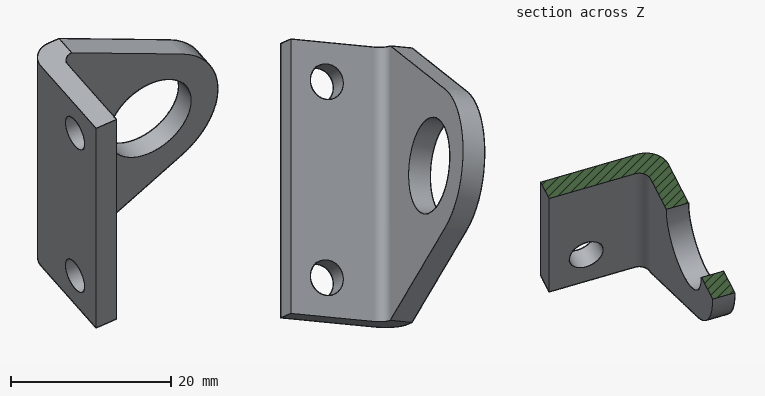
import cadquery as cq
import math

height = 35.0
base_width = 16.0
depth = 26.0
thickness = 3.0

outer_bend_radius = thickness
inner_bend_radius = thickness / 2

lug_radius = 10.0
lug_hole_diameter = 12.1
lug_center_y = depth - lug_radius
taper_start_y = thickness + inner_bend_radius

mount_hole_diameter = 4.5
mount_hole_x = 11.02
mount_hole_spacing = 25.0


def make_angle():
    """L-shaped bent sheet, centred on Z = 0."""
    angle = (
        cq.Workplane("XY")
        .polyline([
            (0, 0),
            (base_width, 0),
            (base_width, thickness),
            (thickness, thickness),
            (thickness, depth),
            (0, depth),
        ])
        .close()
        .extrude(height / 2, both=True)
    )
    outer_corner = cq.selectors.NearestToPointSelector((0, 0, 0))
    inner_corner = cq.selectors.NearestToPointSelector((thickness, thickness, 0))
    angle = angle.edges("|Z").edges(outer_corner).fillet(outer_bend_radius)
    return angle.edges("|Z").edges(inner_corner).fillet(inner_bend_radius)


def make_lug_envelope():
    """Side outline whose tapered edges run tangent into the round lug end."""
    taper_run = lug_center_y - taper_start_y
    corner_distance = math.hypot(taper_run, height / 2)
    corner_angle = math.atan2(height / 2, -taper_run)
    tangent_angle = corner_angle - math.acos(lug_radius / corner_distance)
    tangent_y = lug_center_y + lug_radius * math.cos(tangent_angle)
    tangent_z = lug_radius * math.sin(tangent_angle)
    return (
        cq.Workplane("YZ")
        .moveTo(0, -height / 2)
        .lineTo(taper_start_y, -height / 2)
        .lineTo(tangent_y, -tangent_z)
        .threePointArc((depth, 0), (tangent_y, tangent_z))
        .lineTo(taper_start_y, height / 2)
        .lineTo(0, height / 2)
        .close()
        .extrude(base_width)
    )


def make_lug_hole():
    return (
        cq.Workplane("YZ")
        .center(lug_center_y, 0)
        .circle(lug_hole_diameter / 2)
        .extrude(thickness)
    )


def make_mount_holes():
    return (
        cq.Workplane("XZ")
        .pushPoints([(mount_hole_x, side * mount_hole_spacing / 2) for side in (-1, 1)])
        .circle(mount_hole_diameter / 2)
        .extrude(-thickness)
    )


bracket = make_angle().intersect(make_lug_envelope())
result = bracket.cut(make_lug_hole()).cut(make_mount_holes())